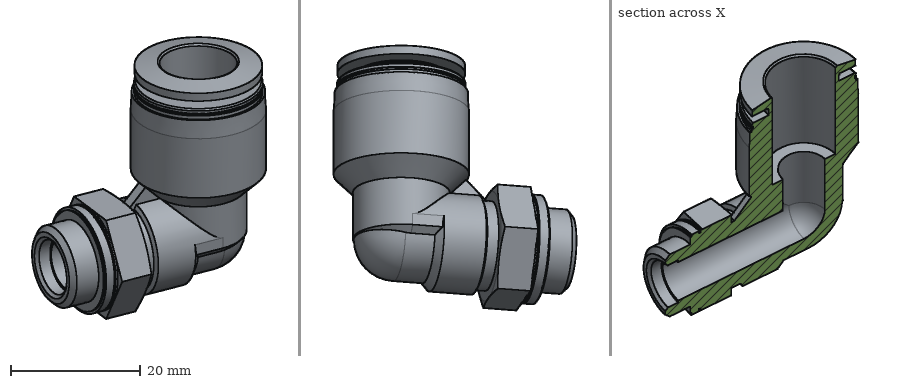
import cadquery as cq
import math


overall_height = 37.5
hex_flats = 17.0
top_z = overall_height - hex_flats / 2

cap_rim_z = 28.35
cap_bottom_z = 27.0
cap_diameter = 19.8
tube_hole_diameter = 12.0
tube_hole_edge_diameter = 12.6
tube_hole_edge_depth = 0.3
neck_diameter = 13.5
neck_lip_diameter = 13.65
neck_lip_height = 0.22
collar_top_z = 25.6
collar_diameter = 20.0
collar_chamfer = 0.25
collar_groove_top_z = 24.85
collar_groove_width = 0.38
collar_groove_depth = 0.22

body_top_z = 23.9
body_top_diameter = 20.7
body_taper_end_z = 20.85
body_diameter = 21.0
body_bottom_z = 10.6
tube_stop_z = body_bottom_z

elbow_diameter = 15.0
lower_radius = 6.52
lower_ball_y = 0.85
shoulder_overlap = 0.2
elbow_cone_bottom_z = body_bottom_z - (body_diameter - elbow_diameter) / 2

arm_radius = 7.72
arm_start = 5.02
arm_end = 11.7
arm_end_chamfer = 0.38
lower_run_out = arm_radius - lower_radius
sleeve_diameter = 13.95
rib_width = 2.0
rib_reach = 20.3

hex_start = 13.85
hex_end = 19.42
hex_chamfer_angle = 15.0
flange_end = 19.75
flange_diameter = 17.0
ring_groove_diameter = 16.0
ring_start = 20.02
ring_diameter = 17.0
ring_lip_start = 21.5
ring_lip_diameter = 16.12
thread_start = 21.75
thread_end = 26.5
thread_diameter = 13.15
thread_chamfer = 0.85

flow_diameter = 8.0
port_diameter = 8.78
port_depth = 2.48
port_edge_diameter = 9.82
port_edge_depth = 0.52


def revolve_z(profile):
    """Revolve a closed (diameter, z) profile about the Z axis."""
    points = [(diameter / 2, z) for diameter, z in profile]
    return cq.Workplane("XZ").polyline(points).close().revolve(360, (0, 0), (0, 1))


def revolve_arm(profile):
    """Revolve a closed (diameter, distance along -Y) profile about the Y axis."""
    points = [(diameter / 2, -distance) for diameter, distance in profile]
    return cq.Workplane("XY").polyline(points).close().revolve(360, (0, 0), (0, 1))


def arm_cylinder(radius, start, end):
    return cq.Workplane("XZ", origin=(0, -start, 0)).circle(radius).extrude(end - start)


def make_socket():
    groove_diameter = collar_diameter - 2 * collar_groove_depth
    groove_bottom_z = collar_groove_top_z - collar_groove_width
    return revolve_z([
        (0, 0),
        (elbow_diameter, 0),
        (elbow_diameter, elbow_cone_bottom_z),
        (body_diameter, body_bottom_z),
        (body_diameter, body_taper_end_z),
        (body_top_diameter, body_top_z),
        (collar_diameter, body_top_z),
        (collar_diameter, groove_bottom_z),
        (groove_diameter, groove_bottom_z),
        (groove_diameter, collar_groove_top_z),
        (collar_diameter, collar_groove_top_z),
        (collar_diameter, collar_top_z - collar_chamfer),
        (collar_diameter - 2 * collar_chamfer, collar_top_z),
        (neck_diameter, collar_top_z),
        (neck_diameter, cap_bottom_z - neck_lip_height),
        (neck_lip_diameter, cap_bottom_z - neck_lip_height),
        (neck_lip_diameter, cap_bottom_z),
        (cap_diameter, cap_bottom_z),
        (cap_diameter, cap_rim_z),
        (tube_hole_edge_diameter, top_z),
        (0, top_z),
    ])


def make_elbow():
    upper_limit = (
        cq.Workplane("XY")
        .rect(elbow_diameter, 2 * arm_start)
        .extrude(arm_radius)
    )
    upper = arm_cylinder(arm_radius, 0, arm_start).intersect(upper_limit)

    arc_middle = lower_radius * math.sqrt(0.5)
    lower_ball = (
        cq.Workplane("XY", origin=(0, lower_ball_y, 0))
        .moveTo(0, lower_radius)
        .threePointArc((arc_middle, arc_middle), (lower_radius, 0))
        .lineTo(0, 0)
        .close()
        .revolve(360, (0, 0), (0, 1))
    )
    lower_tube = arm_cylinder(lower_radius, -lower_ball_y, arm_start)
    shoulder_depth = elbow_diameter / 2 - lower_radius + shoulder_overlap
    shoulder = (
        cq.Workplane("XY")
        .circle(elbow_diameter / 2)
        .workplane(offset=-shoulder_depth)
        .circle(elbow_diameter / 2 - shoulder_depth)
        .loft()
    )
    straight_shoulder = (
        cq.Workplane("XZ")
        .polyline([
            (-elbow_diameter / 2, 0),
            (elbow_diameter / 2, 0),
            (elbow_diameter / 2 - shoulder_depth, -shoulder_depth),
            (shoulder_depth - elbow_diameter / 2, -shoulder_depth),
        ])
        .close()
        .extrude(arm_start)
    )
    run_out = revolve_arm([
        (0, arm_start - lower_run_out),
        (2 * lower_radius, arm_start - lower_run_out),
        (2 * arm_radius, arm_start),
        (0, arm_start),
    ])
    elbow = upper
    for piece in (lower_tube, lower_ball, run_out, shoulder, straight_shoulder):
        elbow = elbow.union(piece)
    return elbow


def make_arm():
    return revolve_arm([
        (0, arm_start),
        (2 * arm_radius, arm_start),
        (2 * arm_radius, arm_end),
        (sleeve_diameter, arm_end + arm_end_chamfer),
        (sleeve_diameter, hex_end),
        (flange_diameter, hex_end),
        (flange_diameter, flange_end),
        (ring_groove_diameter, flange_end),
        (ring_groove_diameter, ring_start),
        (ring_diameter, ring_start),
        (ring_diameter, ring_lip_start),
        (ring_lip_diameter, ring_lip_start),
        (ring_lip_diameter, thread_start),
        (thread_diameter, thread_start),
        (thread_diameter, thread_end - thread_chamfer),
        (thread_diameter - 2 * thread_chamfer, thread_end),
        (0, thread_end),
    ])


def make_hexagon():
    corner_diameter = hex_flats / math.cos(math.radians(30))
    corner_radial_gap = (corner_diameter - hex_flats) / 2
    corner_chamfer = corner_radial_gap * math.tan(math.radians(hex_chamfer_angle))
    hexagon = (
        cq.Workplane("XZ", origin=(0, -hex_start, 0))
        .polygon(6, corner_diameter)
        .extrude(hex_end - hex_start)
    )
    chamfered_round = revolve_arm([
        (0, hex_start),
        (hex_flats, hex_start),
        (corner_diameter, hex_start + corner_chamfer),
        (corner_diameter, hex_end),
        (0, hex_end),
    ])
    return hexagon.intersect(chamfered_round)


def make_rib():
    foot = rib_reach - sleeve_diameter / 2
    return (
        cq.Workplane("YZ", origin=(-rib_width / 2, 0, 0))
        .polyline([
            (0, 0),
            (-foot, 0),
            (-foot, rib_reach - foot),
            (body_bottom_z - rib_reach, body_bottom_z),
            (0, body_bottom_z),
        ])
        .close()
        .extrude(rib_width)
    )


def make_bores():
    tube_bore = revolve_z([
        (0, 0),
        (flow_diameter, 0),
        (flow_diameter, tube_stop_z),
        (tube_hole_diameter, tube_stop_z),
        (tube_hole_diameter, top_z - tube_hole_edge_depth),
        (tube_hole_edge_diameter, top_z),
        (0, top_z),
    ])
    port_step = thread_end - port_depth
    port_bore = revolve_arm([
        (0, 0),
        (flow_diameter, 0),
        (flow_diameter, port_step),
        (port_diameter, port_step),
        (port_diameter, thread_end - port_edge_depth),
        (port_edge_diameter, thread_end),
        (0, thread_end),
    ])
    corner = cq.Workplane("XY").sphere(flow_diameter / 2)
    return tube_bore.union(port_bore).union(corner)


solid_fitting = make_socket()
for feature in (make_elbow(), make_arm(), make_hexagon(), make_rib()):
    solid_fitting = solid_fitting.union(feature)

result = solid_fitting.cut(make_bores())